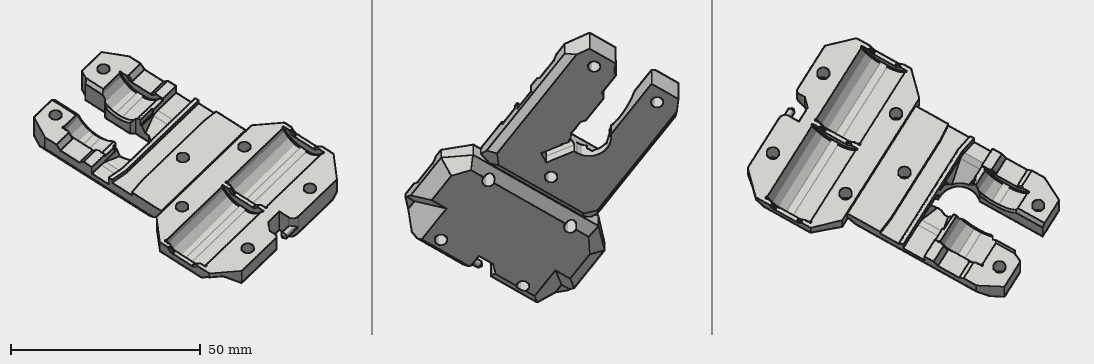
import cadquery as cq
HEIGHT = 7.8
SCREW_DIA = 3.3
BEARING_R = 7.6
BEARING_LIFT = 3.6
BEARING_FLOOR = 3.9
BEARING_LEN = 24.2
RING_W = 0.45
RING_STEP = 0.2
NOTCH_DEPTH = 1.4
NOTCH_BOTTOM = 3.2
NOTCH_TOP = 4.6
NOTCH_FLARE = 0.6
FLARE_LEN = 0.4
BIG = 150.4

CARRIAGE_X0 = 46.25
CARRIAGE_X1 = 75.2
CARRIAGE_HALF_Y = 25.98
CARRIAGE_CORNER = 6.1
CARRIAGE_SIDE_BEVEL = 4.0
CARRIAGE_END_BEVEL = 2.8
SEAT_X = 59.9
SCREW_X = (49.3, 71.6)
SCREW_Y = 13.0
CORNER_POCKET_X = 62.65
CORNER_POCKET_Y = 17.3
CORNER_POCKET_TOP = 6.1

SLOT_X = 70.2
SLOT_Y0 = -4.8
SLOT_Y1 = 1.9
SLOT_SLANT = 2.1
SLOT_ROUND = 1.9
SLOT_LIP = 0.6
BLOCK_CHAMFER = 0.9
PEG_DIA = 1.95
PEG_Z = 3.6
PEG_TIP_Y = -1.65
PEG_ROOT_Y = 4.5
PEG_CHAMFER = 0.6

FORK_X1 = 46.0
FORK_HALF_Y = 17.6
FORK_CORNER_X = 6.55
FORK_CORNER_Y = 3.45
FORK_BEVEL_Y = 1.65
FORK_BEVEL_Z = 3.1
FORK_END_BEVEL_X = 2.3
FORK_END_BEVEL_Z = 2.7
FORK_SEAT_X = 14.9
FORK_NOTCH_X = 15.05
FORK_SEAT_END = BEARING_LEN / 2
ARM_SCREW_DIA = 3.2
ARM_SCREW = (4.0, 10.0)
FORK_SCREW_X = 39.0

UPPER_ARM_Y = 3.7
UPPER_LIP_Y = 2.3
LOWER_ARM_Y = -5.6
GEAR_X = 23.15
GEAR_Y = -1.35
GEAR_R = 5.8
ARM_CHAMFER_Y = 1.05
ARM_CHAMFER_Z = 1.0
SEAT_MOUTH = 0.6

CHANNEL_X0 = 22.5
RIDGE_X0 = GEAR_X + GEAR_R
CHANNEL_Z = 5.05
GROOVE_X0 = 30.15
GROOVE_X1 = 35.6
GROOVE_Z = 6.6
RIDGE_FLARE = 0.8
GROOVE_FLARE = 0.45
FLARE_Y = 4.9
SLOPE_KNEE_Z = 4.6
SLOPE_END_Z = 2.1
SLOPE_UPPER = (9.9, 8.1, 1.5)
SLOPE_LOWER = (-13.75, -11.95, -4.1)
TROUGH_NARROWING = 1.65
THIN_WALL_X = 22.0
THIN_WALL_Z = 7.15

FEED_WIDTH = 3.2
FEED_ANGLE = 30
FEED_X = 28.0
FEED_Y = 0.8
FEED_LENGTH = 8.3
FEED_TOP = 4.9


def keep_out(origin, normal):
    """Block filling everything beyond the plane on the side its normal points to."""
    return cq.Workplane(cq.Plane(origin=origin, normal=normal)).rect(BIG, BIG).extrude(BIG)


def prism_y(points, y0, y1):
    """Polygon given in X and Z, extruded from y0 to y1."""
    return cq.Workplane("XZ", origin=(0, y0, 0)).polyline(points).close().extrude(y0 - y1)


def prism_x(points, x0, x1):
    """Polygon given in Y and Z, extruded from x0 to x1."""
    return cq.Workplane("YZ", origin=(x0, 0, 0)).polyline(points).close().extrude(x1 - x0)


def prism_z(points, z0=0, z1=HEIGHT):
    """Polygon given in X and Y, extruded from z0 to z1."""
    return cq.Workplane("XY", origin=(0, 0, z0)).polyline(points).close().extrude(z1 - z0)


def cylinder_y(x, z, radius, y0, y1):
    return cq.Workplane("XZ", origin=(x, y0, z)).circle(radius).extrude(y0 - y1)


def screw_holes(points, diameter):
    return cq.Workplane("XY").pushPoints(points).circle(diameter / 2).extrude(HEIGHT)


def bearing_seat(x, y0, y1, ring_ends):
    """Cylindrical seat with a flat floor and a relief ring at each of the listed ends."""
    axis_z = HEIGHT + BEARING_LIFT
    seat = cylinder_y(x, axis_z, BEARING_R, y0, y1)
    floor = cq.Workplane("XY").box(BIG, BIG, BEARING_FLOOR, centered=(True, True, False))
    seat = seat.cut(floor)
    for start, end in ring_ends:
        seat = seat.union(cylinder_y(x, axis_z, BEARING_R + RING_STEP, start, end).cut(floor))
    return seat


def notch_outline(x, extra):
    bottom = HEIGHT - NOTCH_DEPTH
    return [
        (x - NOTCH_BOTTOM - extra, bottom),
        (x + NOTCH_BOTTOM + extra, bottom),
        (x + NOTCH_TOP + extra, HEIGHT),
        (x - NOTCH_TOP - extra, HEIGHT),
    ]


def flare(x, y_face, y_inside):
    """Widening of a shaft notch towards one face of its rim."""
    return (
        cq.Workplane("XZ", origin=(0, y_face, 0))
        .polyline(notch_outline(x, NOTCH_FLARE)).close()
        .workplane(offset=y_face - y_inside)
        .polyline(notch_outline(x, 0)).close()
        .loft(ruled=True)
    )


def rim_notch(x, y0, y1):
    """Shaft notch through a rim, flared at both faces."""
    notch = prism_y(notch_outline(x, 0), y0, y1)
    return notch.union(flare(x, y0, y0 + FLARE_LEN)).union(flare(x, y1, y1 - FLARE_LEN))


def carriage_blank():
    """Plate with cut corners and bevels around its bottom."""
    x0, x1, y, c = CARRIAGE_X0, CARRIAGE_X1, CARRIAGE_HALF_Y, CARRIAGE_CORNER
    body = prism_z([
        (x0, c - y), (x0 + c, -y), (x1 - c, -y), (x1, c - y),
        (x1, y - c), (x1 - c, y), (x0 + c, y), (x0, y - c),
    ])
    body = body.cut(keep_out((x0, 0, CARRIAGE_END_BEVEL), (-1, 0, -1)))
    for side in (-1, 1):
        body = body.cut(keep_out((0, side * y, CARRIAGE_SIDE_BEVEL), (0, side, -1)))
        corner = (x0 + c, side * y, CARRIAGE_SIDE_BEVEL)
        body = body.cut(keep_out(corner, (-0.62, side * 0.83, -1)))
        body = body.cut(corner_pocket(side))
    return body.cut(end_bevel())


def corner_pocket(side):
    """Sloping pocket under a free-end corner."""
    top = CORNER_POCKET_TOP
    pocket = prism_x([
        (side * CORNER_POCKET_Y, 0),
        (side * (CORNER_POCKET_Y + top), top),
        (side * BIG, top),
        (side * BIG, 0),
    ], CORNER_POCKET_X, BIG)
    return pocket.cut(keep_out((CORNER_POCKET_X, 0, 0), (-1, 0, 1)))


def end_bevel():
    """Bevel of the free end: large below the notch, small beside the peg."""
    x1 = CARRIAGE_X1
    bevel = CARRIAGE_END_BEVEL
    large = prism_y([(x1 - bevel, 0), (x1, 0), (x1, bevel)], -CARRIAGE_HALF_Y, SLOT_Y1)
    small = prism_y([(x1 - BLOCK_CHAMFER, 0), (x1, 0), (x1, BLOCK_CHAMFER)], SLOT_Y1, CARRIAGE_HALF_Y)
    return large.union(small)


def end_notch():
    """Notch in the free end with a slanted inner corner and a rounded upper corner."""
    x1 = CARRIAGE_X1
    outline = (
        cq.Workplane("XY")
        .moveTo(SLOT_X, SLOT_Y1)
        .lineTo(x1 - SLOT_ROUND, SLOT_Y1)
        .radiusArc((x1, SLOT_Y1 + SLOT_ROUND), -SLOT_ROUND)
        .lineTo(x1, SLOT_Y0 - SLOT_LIP)
        .radiusArc((x1 - 2 * SLOT_LIP, SLOT_Y0), -2 * SLOT_LIP)
        .lineTo(SLOT_X + SLOT_SLANT, SLOT_Y0)
        .lineTo(SLOT_X, SLOT_Y0 + SLOT_SLANT)
        .close()
    )
    return outline.extrude(HEIGHT)


def make_carriage():
    body = carriage_blank().cut(end_notch())
    peg = cylinder_y(CARRIAGE_X1 - PEG_DIA / 2, PEG_Z, PEG_DIA / 2, PEG_TIP_Y, PEG_ROOT_Y)
    body = body.union(peg.faces("<Y").chamfer(PEG_CHAMFER))
    rim = (2 * CARRIAGE_HALF_Y - 2 * BEARING_LEN) / 3
    for start in (rim / 2, -rim / 2 - BEARING_LEN):
        end = start + BEARING_LEN
        body = body.cut(bearing_seat(SEAT_X, start, end, [(start, start + RING_W), (end - RING_W, end)]))
    for y in (-CARRIAGE_HALF_Y, -rim / 2, CARRIAGE_HALF_Y - rim):
        body = body.cut(rim_notch(SEAT_X, y, y + rim))
    return body.cut(screw_holes([(x, y) for x in SCREW_X for y in (-SCREW_Y, SCREW_Y)], SCREW_DIA))


def fork_blank():
    """Plate with slanted front corners and bevels around its bottom."""
    x1, y = FORK_X1, FORK_HALF_Y
    cx, cy = FORK_CORNER_X, FORK_CORNER_Y
    body = prism_z([(0, cy - y), (cx, -y), (x1, -y), (x1, y), (cx, y), (0, y - cy)])
    body = body.cut(keep_out((x1, 0, FORK_END_BEVEL_Z), (FORK_END_BEVEL_Z, 0, -FORK_END_BEVEL_X)))
    for side in (-1, 1):
        body = body.cut(keep_out((0, side * y, FORK_BEVEL_Z), (0, side * FORK_BEVEL_Z, -FORK_BEVEL_Y)))
        body = body.cut(keep_out((x1, side * y, 5.0), (5.5, side * 6.5, -7.9)))
    return body


def arm_opening():
    """Opening from the front end to the round gear clearance."""
    outline = (
        cq.Workplane("XY")
        .moveTo(0, LOWER_ARM_Y)
        .lineTo(0, 5.9)
        .lineTo(2.5, 4.7)
        .lineTo(2.9, UPPER_ARM_Y)
        .lineTo(9.7, UPPER_ARM_Y)
        .lineTo(10.15, 3)
        .radiusArc((11.3, UPPER_LIP_Y), -1.2)
        .lineTo(19.25, UPPER_LIP_Y)
        .lineTo(20.4, 3.2)
        .lineTo(24.8, 3.2)
        .lineTo(26.0, 2.55)
        .lineTo(27.45, UPPER_LIP_Y)
        .lineTo(RIDGE_X0, 3.45)
        .lineTo(RIDGE_X0, LOWER_ARM_Y)
        .close()
    )
    gear = cq.Workplane("XY").center(GEAR_X, GEAR_Y).circle(GEAR_R).extrude(HEIGHT)
    below = prism_z([(0, LOWER_ARM_Y), (0, -BIG), (BIG, -BIG), (BIG, LOWER_ARM_Y)])
    corner = prism_z([
        (GEAR_X, GEAR_Y), (GEAR_X + BIG, GEAR_Y), (GEAR_X + BIG, LOWER_ARM_Y), (GEAR_X, LOWER_ARM_Y),
    ])
    return outline.extrude(HEIGHT).cut(corner).union(gear.intersect(below.union(corner)))


def arm_edge_chamfers():
    """Chamfers along the upper inner edges of both arms, ahead of the bearing seat."""
    low = HEIGHT - ARM_CHAMFER_Z
    lower = [(LOWER_ARM_Y, low), (LOWER_ARM_Y, HEIGHT), (LOWER_ARM_Y - ARM_CHAMFER_Y, HEIGHT)]
    upper = [(UPPER_ARM_Y, low), (UPPER_ARM_Y, HEIGHT), (UPPER_ARM_Y + ARM_CHAMFER_Y, HEIGHT)]
    return prism_x(lower, 0, GEAR_X).union(prism_x(upper, 2.25, FORK_SEAT_X))


def seat_mouth(y, y_inside):
    """Conical edge break where the bearing seat opens between the arms."""
    axis_z = HEIGHT + BEARING_LIFT
    cone = (
        cq.Workplane("XZ", origin=(FORK_SEAT_X, y, axis_z))
        .circle(BEARING_R + SEAT_MOUTH)
        .workplane(offset=y - y_inside)
        .circle(BEARING_R)
        .loft()
    )
    return cone


def slope(start, knee, end):
    """Gentle ramp from the channel floor, then a steeper trough narrowing towards the gear."""
    x0, x1 = CHANNEL_X0, RIDGE_X0
    ramp = prism_x([(start, CHANNEL_Z), (knee, SLOPE_KNEE_Z), (knee, CHANNEL_Z)], x0, x1)
    inset = TROUGH_NARROWING
    trough = (
        cq.Workplane("XZ", origin=(0, knee, 0))
        .polyline([(x0, CHANNEL_Z), (x0, SLOPE_KNEE_Z), (x1, SLOPE_KNEE_Z), (x1, CHANNEL_Z)]).close()
        .workplane(offset=knee - end)
        .polyline([
            (x0, CHANNEL_Z), (x0 + inset, SLOPE_END_Z), (x1 - inset, SLOPE_END_Z), (x1, CHANNEL_Z),
        ]).close()
        .loft(ruled=True)
    )
    return ramp.union(trough)


def feed_slot():
    """Round-topped slot, open at the bottom, running under the ridge at an angle."""
    radius = FEED_WIDTH / 2
    spring = FEED_TOP - radius
    profile = (
        cq.Workplane("YZ")
        .moveTo(-radius, 0)
        .lineTo(-radius, spring)
        .threePointArc((0, FEED_TOP), (radius, spring))
        .lineTo(radius, 0)
        .close()
    )
    return profile.extrude(FEED_LENGTH).rotate((0, 0, 0), (0, 0, 1), FEED_ANGLE).translate((FEED_X, FEED_Y, 0))


def gear_channel():
    """Channel across the fork that slopes down towards the gear clearance from both sides."""
    x0, x1 = CHANNEL_X0, RIDGE_X0
    y = FORK_HALF_Y
    channel = prism_z([
        (x0, -y), (x1 - RIDGE_FLARE, -y), (x1, FLARE_Y - y), (x1, y), (x0, y),
    ], CHANNEL_Z)
    for start, knee, end in (SLOPE_UPPER, SLOPE_LOWER):
        channel = channel.union(slope(start, knee, end))
    reach = SLOPE_UPPER[1]
    flank = prism_x([
        (-reach, CHANNEL_Z), (reach, CHANNEL_Z), (reach, HEIGHT), (-reach, HEIGHT),
    ], THIN_WALL_X, x1)
    low_wall = prism_x([
        (-FORK_SEAT_END, THIN_WALL_Z), (FORK_SEAT_END, THIN_WALL_Z),
        (FORK_SEAT_END, HEIGHT), (-FORK_SEAT_END, HEIGHT),
    ], FORK_SEAT_X, x1)
    return channel.union(flank).union(low_wall)


def belt_groove():
    """Shallow groove behind the ridge, flared at its ends."""
    x0, x1 = GROOVE_X0, GROOVE_X1
    y = FORK_HALF_Y
    return prism_z([
        (x0 - RIDGE_FLARE, -y), (x1 + GROOVE_FLARE, -y), (x1, FLARE_Y - y),
        (x1, y - FLARE_Y), (x1 + GROOVE_FLARE, y), (x0, y), (x0, FLARE_Y - y),
    ], GROOVE_Z)


def make_fork():
    body = fork_blank()
    end = FORK_SEAT_END
    body = body.cut(bearing_seat(FORK_SEAT_X, -end, end, [(-end, RING_W - end), (end - RING_W, end)]))
    body = body.cut(prism_y(notch_outline(FORK_NOTCH_X, 0), -FORK_HALF_Y, FORK_HALF_Y))
    body = body.cut(flare(FORK_NOTCH_X, end, end + FLARE_LEN)).cut(flare(FORK_NOTCH_X, -end, -end - FLARE_LEN))
    body = body.cut(gear_channel()).cut(belt_groove())
    body = body.cut(arm_opening()).cut(feed_slot()).cut(arm_edge_chamfers())
    body = body.cut(seat_mouth(UPPER_LIP_Y, UPPER_LIP_Y + SEAT_MOUTH))
    body = body.cut(seat_mouth(LOWER_ARM_Y, LOWER_ARM_Y - SEAT_MOUTH))
    arm_x, arm_y = ARM_SCREW
    body = body.cut(screw_holes([(arm_x, arm_y), (arm_x, -arm_y)], ARM_SCREW_DIA))
    return body.cut(screw_holes([(FORK_SCREW_X, 0)], SCREW_DIA))


carriage = make_carriage()
fork = make_fork()
result = cq.Compound.makeCompound([carriage.val(), fork.val()])